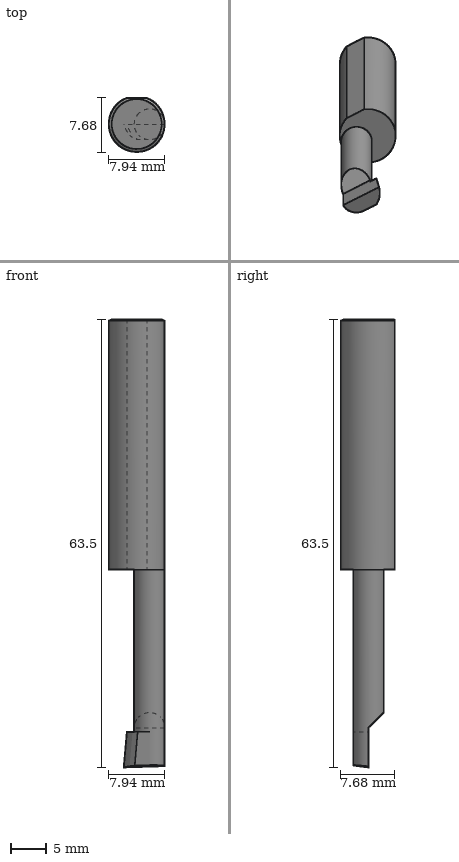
import cadquery as cq
import math


total_length = 63.5

shank_diameter = 7.94
shank_radius = shank_diameter / 2
shank_length = 35.45
shank_bottom = total_length - shank_length
shank_depth = 7.68
flat_distance = shank_depth - shank_radius
top_chamfer_width = 0.43
top_chamfer_height = 0.2

neck_radius = 2.18
neck_x = shank_radius - neck_radius

relief_height = 5.65
relief_angle = 45.0

head_height = 5.05
tip_x = -1.85
flank_end = (-1.03, -1.57)
flank_radius = 4.0
heel_x = -0.3
flank_lean = 5.0
end_rise_x = 1.8
end_rise_y = 6.5


def make_shank():
    shank = cq.Workplane("XY", origin=(0, 0, shank_bottom)).circle(shank_radius).extrude(shank_length)
    shank = shank.faces(">Z").chamfer(top_chamfer_height, top_chamfer_width)
    beyond_flat = (
        cq.Workplane("XY")
        .box(shank_diameter, shank_radius, shank_length, centered=(True, False, False))
        .translate((0, flat_distance, shank_bottom))
    )
    return shank.cut(beyond_flat)


def make_neck():
    neck = cq.Workplane("XY").center(neck_x, 0).circle(neck_radius).extrude(shank_bottom)
    slope_reach = 2 * neck_radius
    slope_top = relief_height + slope_reach * math.tan(math.radians(relief_angle))
    relief = (
        cq.Workplane("YZ", origin=(neck_x, 0, 0))
        .polyline([(0, 0), (slope_reach, 0), (slope_reach, slope_top), (0, relief_height)])
        .close()
        .extrude(2 * neck_radius, both=True)
    )
    return neck.cut(relief)


def flank_middle():
    """Middle point of the convex flank arc between the tip and the flank end."""
    end_x, end_y = flank_end
    chord_x = end_x - tip_x
    chord = math.hypot(chord_x, end_y)
    bulge = flank_radius - math.sqrt(flank_radius**2 - (chord / 2) ** 2)
    return (
        (tip_x + end_x) / 2 + bulge * end_y / chord,
        end_y / 2 - bulge * chord_x / chord,
    )


def make_head():
    outline = (
        cq.Workplane("XY")
        .moveTo(tip_x, 0)
        .threePointArc(flank_middle(), flank_end)
        .lineTo(heel_x, -neck_radius)
        .lineTo(neck_x, -neck_radius)
        .lineTo(neck_x, 0)
        .close()
        .val()
    )
    lean_shift = head_height * math.tan(math.radians(flank_lean))
    head = cq.Workplane(cq.Solid.extrudeLinear(outline, [], cq.Vector(lean_shift, 0, head_height)))
    beyond_axis = (
        cq.Workplane("XY")
        .box(shank_radius, shank_diameter, head_height, centered=(False, True, False))
        .translate((neck_x, 0, 0))
    )
    return head.cut(beyond_axis)


def below_end_face():
    """Block under the inclined end face, which passes through the tip."""
    normal = (-math.tan(math.radians(end_rise_x)), math.tan(math.radians(end_rise_y)), 1)
    plane = cq.Plane(origin=(tip_x, 0, 0), normal=normal)
    block_size = 4 * shank_diameter
    return cq.Workplane(plane).rect(block_size, block_size).extrude(-shank_diameter)


result = make_shank().union(make_neck()).union(make_head()).cut(below_end_face())